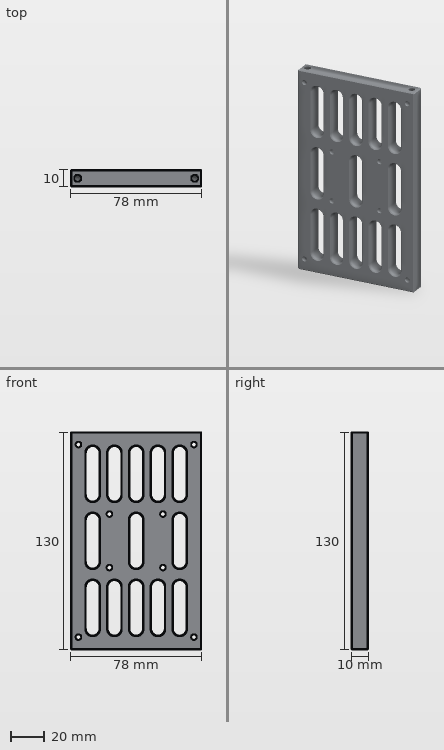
import cadquery as cq
import math

WIDTH = 78.0
THICKNESS = 10.0
HEIGHT = 130.0
EDGE_CHAMFER = 0.5

SLOT_MOUTH_WIDTH = 9.0
SLOT_MOUTH_LENGTH = 34.0
SLOT_CHAMFER = EDGE_CHAMFER
SLOT_WIDTH = SLOT_MOUTH_WIDTH - 2 * SLOT_CHAMFER
SLOT_LENGTH = SLOT_MOUTH_LENGTH - 2 * SLOT_CHAMFER
COLUMN_PITCH = 13.0
ROW_PITCH = 40.0
OUTER_ROW_COLUMNS = (-2, -1, 0, 1, 2)
MIDDLE_ROW_COLUMNS = (-2, 0, 2)
SLOT_ROWS = {-1: OUTER_ROW_COLUMNS, 0: MIDDLE_ROW_COLUMNS, 1: OUTER_ROW_COLUMNS}

HOLE_DIAMETER = 3.2
CORNER_HOLE_SPACING_X = 69.0
CORNER_HOLE_SPACING_Z = 115.0
CENTRE_HOLE_SPACING = 32.0

END_HOLE_DIAMETER = 4.2
END_HOLE_SPACING = 70.0
END_HOLE_DEPTH = 20.0
DRILL_POINT_ANGLE = 118.0


def chamfered_plate():
    return cq.Workplane("XY").box(WIDTH, THICKNESS, HEIGHT).edges().chamfer(EDGE_CHAMFER)


def slot_cutter():
    """Slot centred on the origin, chamfered at both plate faces."""
    half_thickness = THICKNESS / 2
    cutter = (
        cq.Workplane("XZ")
        .slot2D(SLOT_LENGTH, SLOT_WIDTH, 90)
        .extrude(half_thickness, both=True)
    )
    flare = (
        cq.Workplane("XZ", origin=(0, -half_thickness, 0))
        .slot2D(SLOT_MOUTH_LENGTH, SLOT_MOUTH_WIDTH, 90)
        .extrude(-SLOT_CHAMFER, taper=45)
    )
    return cutter.union(flare).union(flare.mirror("XZ"))


def cut_slots(plate):
    cutter = slot_cutter()
    for row, columns in SLOT_ROWS.items():
        for column in columns:
            plate = plate.cut(cutter.translate((column * COLUMN_PITCH, 0, row * ROW_PITCH)))
    return plate


def cut_hole_rectangle(plate, spacing_x, spacing_z):
    """Four through holes at the corners of a centred rectangle."""
    holes = (
        cq.Workplane("XZ")
        .rect(spacing_x, spacing_z, forConstruction=True)
        .vertices()
        .circle(HOLE_DIAMETER / 2)
        .extrude(THICKNESS, both=True)
    )
    return plate.cut(holes)


def cut_end_holes(plate):
    """Drilled holes with conical bottoms, the same in both ends."""
    radius = END_HOLE_DIAMETER / 2
    point_length = radius / math.tan(math.radians(DRILL_POINT_ANGLE / 2))
    top = HEIGHT / 2
    shoulder = top - END_HOLE_DEPTH
    drill = (
        cq.Workplane("XZ")
        .moveTo(0, top)
        .lineTo(radius, top)
        .lineTo(radius, shoulder)
        .lineTo(0, shoulder - point_length)
        .close()
        .revolve(360, (0, 0, 0), (0, 1, 0))
    )
    for side in (-1, 1):
        top_drill = drill.translate((side * END_HOLE_SPACING / 2, 0, 0))
        plate = plate.cut(top_drill).cut(top_drill.mirror("XY"))
    return plate


result = chamfered_plate()
result = cut_slots(result)
result = cut_hole_rectangle(result, CORNER_HOLE_SPACING_X, CORNER_HOLE_SPACING_Z)
result = cut_hole_rectangle(result, CENTRE_HOLE_SPACING, CENTRE_HOLE_SPACING)
result = cut_end_holes(result)